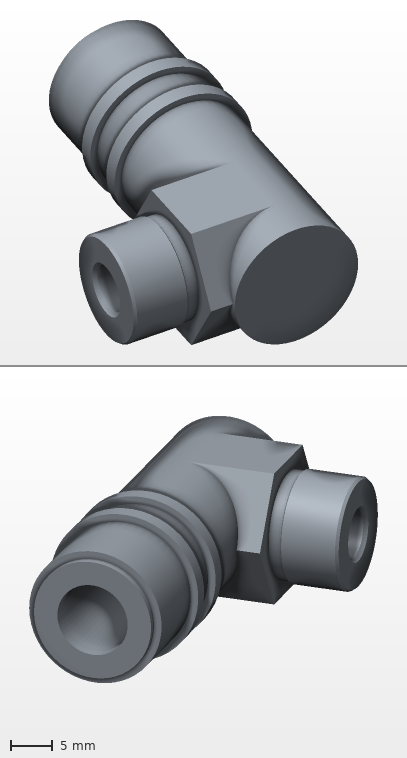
import cadquery as cq
import math


total_length = 47.0
tube_diameter = 17.0
nose_diameter = 15.05
nose_length = 1.0
socket_diameter = 9.02
socket_depth = 17.85

stud_x = 36.7
hex_across_flats = tube_diameter
hex_face = 11.5
thread_start = 13.0
stud_end = 20.5
neck_diameter = 13.55
thread_diameter = 14.05
stud_chamfer_length = 0.38
run_out_length = 0.2

bore_diameter = 6.0
bore_chamfer = 0.45

ring_diameter = 19.0
ring_width = 2.0
ring_starts = [11.0, 17.0]


def cylinder_x(diameter, start, length):
    """Cylinder on the tube axis, from x = start towards +X."""
    return cq.Workplane("YZ", origin=(start, 0, 0)).circle(diameter / 2).extrude(length)


def make_hex_shoulder():
    """Hexagonal prism from the tube axis to the shoulder face, flats facing +Z and -Z."""
    across_corners = hex_across_flats / math.cos(math.pi / 6)
    return cq.Workplane("XZ", origin=(stud_x, 0, 0)).polygon(6, across_corners).extrude(hex_face)


def make_stud():
    """Neck and thread cylinder with tapered ends, as one revolved profile."""
    neck_radius = neck_diameter / 2
    thread_radius = thread_diameter / 2
    profile = [
        (0, 0),
        (neck_radius, 0),
        (neck_radius, -thread_start),
        (thread_radius, -thread_start - run_out_length),
        (thread_radius, -stud_end + stud_chamfer_length),
        (neck_radius, -stud_end),
        (0, -stud_end),
    ]
    stud = cq.Workplane("XY").polyline(profile).close().revolve(360, (0, 0), (0, 1))
    return stud.translate((stud_x, 0, 0))


def make_passage():
    """Bore from the socket to the stud end, with a mitred corner where the axes cross."""
    path = cq.Workplane("XY").polyline([(0, 0), (stud_x, 0), (stud_x, -stud_end)])
    bore = cq.Workplane("YZ").circle(bore_diameter / 2).sweep(path, transition="right")
    mouth = cq.Workplane(
        cq.Solid.makeCone(
            bore_diameter / 2 + bore_chamfer,
            bore_diameter / 2,
            bore_chamfer,
            pnt=cq.Vector(stud_x, -stud_end, 0),
            dir=cq.Vector(0, 1, 0),
        )
    )
    socket = cylinder_x(socket_diameter, 0, socket_depth)
    return bore.union(mouth).union(socket)


def make_elbow():
    """Housing: tube with its nose, hexagonal shoulder and stud, hollowed by the passage."""
    nose = cylinder_x(nose_diameter, 0, nose_length)
    tube = cylinder_x(tube_diameter, nose_length, total_length - nose_length)
    outside = tube.union(nose).union(make_hex_shoulder()).union(make_stud())
    return outside.cut(make_passage())


def make_ring(start):
    """Flat ring fitted around the tube."""
    outside = cylinder_x(ring_diameter, start, ring_width)
    return outside.cut(cylinder_x(tube_diameter, start, ring_width))


elbow = make_elbow()
rings = [make_ring(start) for start in ring_starts]

result = cq.Compound.makeCompound([elbow.solids().val(), *[ring.val() for ring in rings]])